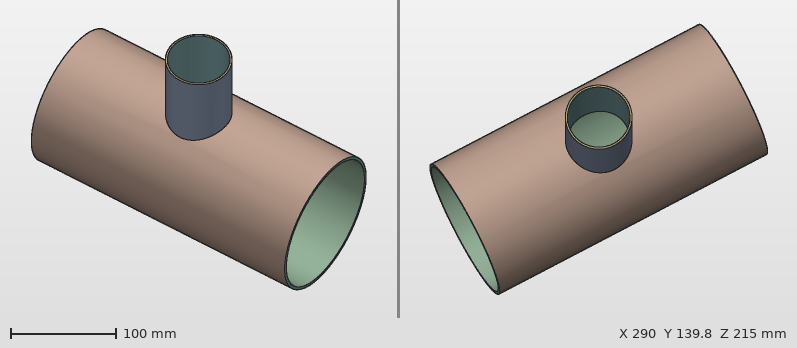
import cadquery as cq

run_length = 290.0
run_outer_diameter = 139.8
run_inner_diameter = 133.7

branch_outer_diameter = 63.5
branch_inner_diameter = 59.5
overall_height = 215.0
branch_top = overall_height - run_outer_diameter / 2


def run_cylinder(diameter):
    """Solid cylinder along X with the length of the main pipe."""
    return cq.Workplane("YZ").circle(diameter / 2).extrude(run_length / 2, both=True)


def branch_cylinder(diameter):
    """Solid cylinder from the main pipe axis up to the open branch end."""
    return cq.Workplane("XY").circle(diameter / 2).extrude(branch_top)


outer_body = run_cylinder(run_outer_diameter).union(branch_cylinder(branch_outer_diameter))
run_bore = run_cylinder(run_inner_diameter)
branch_bore = branch_cylinder(branch_inner_diameter)

result = outer_body.cut(run_bore).cut(branch_bore)